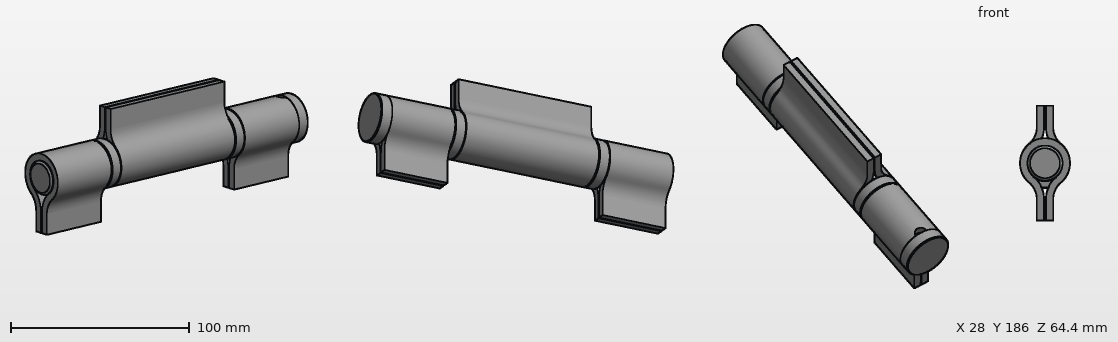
import cadquery as cq
import math

KNUCKLE_DIAMETER = 28.0
PIN_DIAMETER = 19.7
LEAF_REACH = 32.2
LEAF_GAP = 1.0
BEND_HEIGHT = 20.0
SHORT_LENGTH = 40.0
LONG_LENGTH = 84.0

SPACER_LENGTH = 7.0
RIM_CHAMFER = 0.5
SPACER_BORE = 20.3
PIN_CHAMFER = 1.5
HEAD_LENGTH = 6.9
TOTAL_LENGTH = 186.0
NOTCH_RADIUS = 3.5

knuckle_radius = KNUCKLE_DIAMETER / 2
pin_radius = PIN_DIAMETER / 2
ply = knuckle_radius - pin_radius
half_gap = LEAF_GAP / 2
half_thickness = half_gap + ply

head_end = TOTAL_LENGTH / 2
pin_tip = -TOTAL_LENGTH / 2
head_face = head_end - HEAD_LENGTH
rear_space = head_face - SHORT_LENGTH
long_start = rear_space - SPACER_LENGTH
front_space = long_start - LONG_LENGTH
front_start = front_space - SPACER_LENGTH

bend_radius = (half_thickness**2 + BEND_HEIGHT**2 - knuckle_radius**2) / (
    2 * (knuckle_radius - half_thickness)
)
bend_center_x = half_thickness + bend_radius
bend_angle = math.atan2(BEND_HEIGHT, bend_center_x)


def make_leaf(start_y, length, direction):
    """Rolled strip running from start_y toward -Y; direction is +1 for plies up, -1 for down."""

    def on_knuckle(radius, side):
        return (side * radius * math.cos(bend_angle), direction * radius * math.sin(bend_angle))

    def on_bend(radius, side):
        x = bend_center_x - radius * math.cos(bend_angle / 2)
        z = BEND_HEIGHT - radius * math.sin(bend_angle / 2)
        return (side * x, direction * z)

    bend_z = direction * BEND_HEIGHT
    edge_z = direction * LEAF_REACH
    inner_bend_radius = bend_radius + ply
    return (
        cq.Workplane("XZ", origin=(0, start_y, 0))
        .moveTo(half_gap, edge_z)
        .lineTo(half_thickness, edge_z)
        .lineTo(half_thickness, bend_z)
        .threePointArc(on_bend(bend_radius, 1), on_knuckle(knuckle_radius, 1))
        .threePointArc((0, -direction * knuckle_radius), on_knuckle(knuckle_radius, -1))
        .threePointArc(on_bend(bend_radius, -1), (-half_thickness, bend_z))
        .lineTo(-half_thickness, edge_z)
        .lineTo(-half_gap, edge_z)
        .lineTo(-half_gap, bend_z)
        .threePointArc(on_bend(inner_bend_radius, -1), on_knuckle(pin_radius, -1))
        .threePointArc((0, -direction * pin_radius), on_knuckle(pin_radius, 1))
        .threePointArc(on_bend(inner_bend_radius, 1), (half_gap, bend_z))
        .close()
        .extrude(length)
    )


def make_spacer(start_y):
    """Ring with both outer rims chamfered, touching the knuckles at each end."""
    disc = (
        cq.Workplane("XZ", origin=(0, start_y, 0))
        .circle(knuckle_radius)
        .extrude(SPACER_LENGTH)
        .faces("<Y or >Y")
        .chamfer(RIM_CHAMFER)
    )
    bore = cq.Workplane("XZ", origin=(0, start_y, 0)).circle(SPACER_BORE / 2).extrude(SPACER_LENGTH)
    return disc.cut(bore)


def make_pin():
    """Headed pin with a chamfered tip and a chamfered head rim."""
    shank = (
        cq.Workplane("XZ", origin=(0, head_face, 0))
        .circle(pin_radius)
        .extrude(head_face - pin_tip)
        .faces("<Y")
        .chamfer(PIN_CHAMFER)
    )
    head = (
        cq.Workplane("XZ", origin=(0, head_end, 0))
        .circle(knuckle_radius)
        .extrude(HEAD_LENGTH)
        .faces(">Y")
        .chamfer(RIM_CHAMFER)
    )
    return shank.union(head)


notch = cq.Workplane("XY", origin=(0, head_face, 0)).circle(NOTCH_RADIUS).extrude(KNUCKLE_DIAMETER)

rear_leaf = make_leaf(head_face, SHORT_LENGTH, -1).cut(notch)
front_leaf = make_leaf(front_start, SHORT_LENGTH, -1)
long_leaf = make_leaf(long_start, LONG_LENGTH, 1)
spacers = [make_spacer(start_y) for start_y in (rear_space, front_space)]
pin = make_pin()

result = cq.Compound.makeCompound(
    [rear_leaf.val(), front_leaf.val(), long_leaf.val(), *[spacer.val() for spacer in spacers], pin.val()]
)